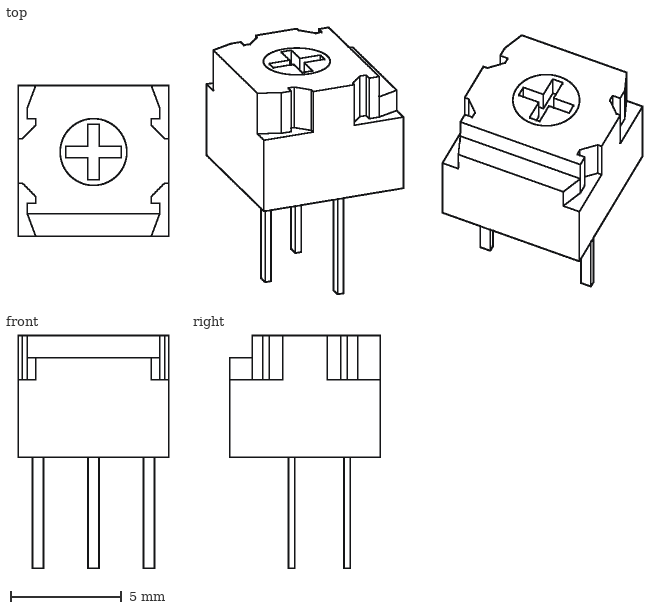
import cadquery as cq

total_height = 10.5
housing_width = 6.8
half_width = housing_width / 2
pin_length = 5.0
housing_height = total_height - pin_length

notch_depth = 2.0
notch_lip_inset = 0.42
notch_deep_inset = 0.8
notch_shallow_inset = 0.2
taper_length = 1.02
hook_start = 1.5
hook_end = 1.8
notch_length = hook_end + notch_deep_inset - notch_shallow_inset

step_width = taper_length
step_depth = notch_depth / 2

rotor_y = 0.4
rotor_diameter = 3.0
bore_diameter = 3.01
rotor_height = 2.0
slot_length = 2.5
slot_width = 0.5
slot_depth = 1.0

pin_width = 0.5
pin_thickness = 0.29
pin_pitch = 2.5
front_pin_y = -0.6
back_pin_y = front_pin_y + pin_pitch
pin_positions = [(-pin_pitch, front_pin_y), (0, back_pin_y), (pin_pitch, front_pin_y)]


def make_notch_cutter(side_x, side_y):
    """Hooked notch at the corner on the given signs of X and Y."""
    inset_points = [
        (0, 0),
        (notch_deep_inset, 0),
        (notch_lip_inset, taper_length),
        (notch_lip_inset, hook_start),
        (notch_deep_inset, hook_start),
        (notch_deep_inset, hook_end),
        (notch_shallow_inset, notch_length),
        (0, notch_length),
    ]
    outline = [(side_x * (half_width - x), side_y * (half_width - y)) for x, y in inset_points]
    return (
        cq.Workplane("XY", origin=(0, 0, total_height - notch_depth))
        .polyline(outline)
        .close()
        .extrude(notch_depth)
    )


def make_step_cutter():
    """Full-width block removed from the front top edge."""
    return cq.Workplane("XY").box(
        housing_width, step_width, step_depth, centered=(True, False, False)
    ).translate((0, -half_width, total_height - step_depth))


def make_top_cylinder(diameter):
    """Cylinder on the rotor axis, ending flush with the top."""
    return (
        cq.Workplane("XY", origin=(0, rotor_y, total_height - rotor_height))
        .circle(diameter / 2)
        .extrude(rotor_height)
    )


def make_housing():
    body = cq.Workplane("XY", origin=(0, 0, pin_length)).rect(housing_width, housing_width)
    body = body.extrude(housing_height)
    for side_x in (-1, 1):
        for side_y in (-1, 1):
            body = body.cut(make_notch_cutter(side_x, side_y))
    body = body.cut(make_step_cutter())
    return body.cut(make_top_cylinder(bore_diameter))


def make_rotor():
    body = make_top_cylinder(rotor_diameter)
    for size_x, size_y in [(slot_length, slot_width), (slot_width, slot_length)]:
        slot = (
            cq.Workplane("XY", origin=(0, rotor_y, total_height - slot_depth))
            .rect(size_x, size_y)
            .extrude(slot_depth)
        )
        body = body.cut(slot)
    return body


def make_pin(x, y):
    return cq.Workplane("XY", origin=(x, y, 0)).rect(pin_width, pin_thickness).extrude(pin_length)


housing = make_housing()
rotor = make_rotor()
pins = [make_pin(x, y).val() for x, y in pin_positions]

result = cq.Compound.makeCompound([housing.val(), rotor.val(), *pins])